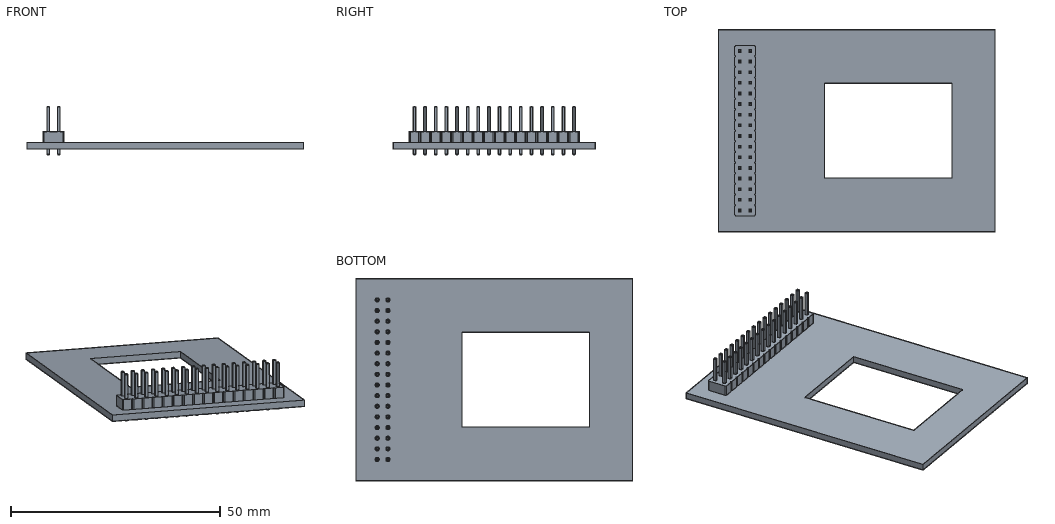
import cadquery as cq

BOARD_LENGTH = 66.05
BOARD_WIDTH = 48.3
BOARD_THICKNESS = 1.6

WINDOW_LENGTH = 30.4
WINDOW_WIDTH = 22.6
WINDOW_LEFT = 25.35

ROWS = 16
COLUMNS = 2
PIN_FIELD_LENGTH = 38.1
PITCH = PIN_FIELD_LENGTH / (ROWS - 1)
HEADER_CENTRE_X = 6.35
HEADER_CENTRE_Y = BOARD_WIDTH / 2
BASE_WIDTH = 5.0
BASE_HEIGHT = 2.6
CELL_CHAMFER = 0.25

PIN_SIDE = 0.65
PIN_TIP_CHAMFER = 0.165
PIN_LENGTH = 11.55
PIN_ABOVE_BASE = 6.0
PIN_TOP = BOARD_THICKNESS + BASE_HEIGHT + PIN_ABOVE_BASE
PIN_BOTTOM = PIN_TOP - PIN_LENGTH
PIN_HOLE_DIAMETER = 1.0


def pin_grid(z):
    """Workplane at height z with a point at the centre of every pin."""
    return (
        cq.Workplane("XY", origin=(HEADER_CENTRE_X, HEADER_CENTRE_Y, z))
        .rarray(PITCH, PITCH, COLUMNS, ROWS)
    )


def make_board():
    """Plate with the window and one round clearance hole for each pin."""
    plate = cq.Workplane("XY").box(BOARD_LENGTH, BOARD_WIDTH, BOARD_THICKNESS, centered=False)
    window = (
        cq.Workplane("XY")
        .center(WINDOW_LEFT + WINDOW_LENGTH / 2, BOARD_WIDTH / 2)
        .rect(WINDOW_LENGTH, WINDOW_WIDTH)
        .extrude(BOARD_THICKNESS)
    )
    pin_holes = pin_grid(0).circle(PIN_HOLE_DIAMETER / 2).extrude(BOARD_THICKNESS)
    return plate.cut(window).cut(pin_holes)


def make_base_cell(centre_y):
    """One row of the plastic base: a block with its four upright corners chamfered."""
    return (
        cq.Workplane("XY", origin=(HEADER_CENTRE_X, centre_y, BOARD_THICKNESS))
        .rect(BASE_WIDTH, PITCH)
        .extrude(BASE_HEIGHT)
        .edges("|Z")
        .chamfer(CELL_CHAMFER)
    )


def make_header():
    """Chamfered cells joined in a row, with tip-chamfered square pins running through them."""
    first_row_y = HEADER_CENTRE_Y - PIN_FIELD_LENGTH / 2
    header = make_base_cell(first_row_y)
    for row in range(1, ROWS):
        header = header.union(make_base_cell(first_row_y + row * PITCH))
    pins = (
        pin_grid(PIN_BOTTOM)
        .rect(PIN_SIDE, PIN_SIDE)
        .extrude(PIN_LENGTH)
        .faces("<Z or >Z")
        .chamfer(PIN_TIP_CHAMFER)
    )
    return header.union(pins)


board = make_board()
header = make_header()

result = cq.Compound.makeCompound([board.val(), *header.solids().vals()])